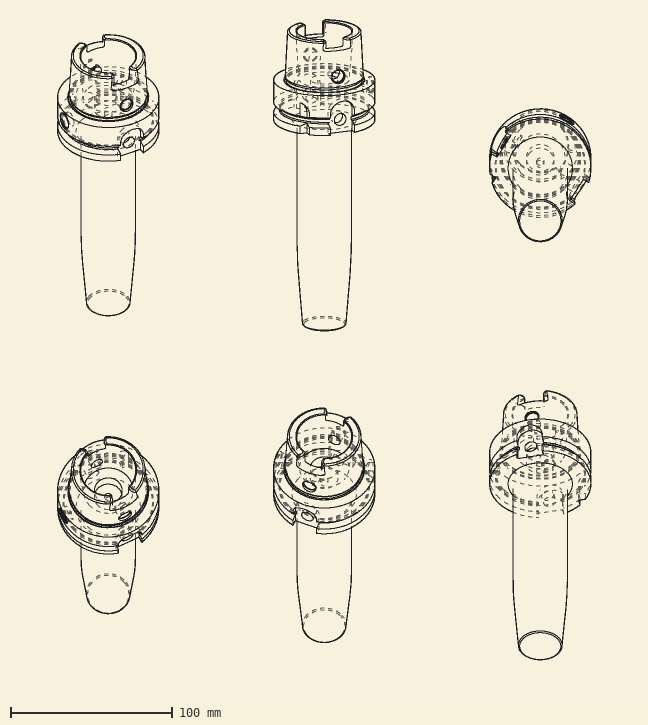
import cadquery as cq
import math


TOTAL_LENGTH = 191.9
DRILL_TIP_ANGLE = 118.0
HALF_RIGHT_ANGLE = math.radians(45)

taper_height = 32.0
taper_top_radius = 22.8
taper_base_diameter = 48.5
taper_base_radius = taper_base_diameter / 2
rim_bevel_width = 1.2
rim_bevel_height = 0.8
neck_height = 2.5
neck_undercut_height = 1.2
neck_radius = 23.6
neck_depth = 0.5
neck_groove_radius = 25.1

bore_radius = 17.0
bore_floor_radius = 15.4
bore_straight_depth = 12.3
bore_rim_chamfer = 0.5
bore_floor_z = 0.0
coolant_seat_radius = 8.6
coolant_seat_depth = 9.5
coolant_hole_radius = 2.3
coolant_hole_depth = 5.8

flange_radius = 31.5
flange_thickness = 26.1
groove_radius = 27.5
groove_top_z = -14.5
groove_bottom_z = -21.3
groove_flank_height = 2.0
groove_root_bevel = 0.5

body_diameter = 34.0
body_radius = body_diameter / 2
root_cone_radius = 20.0
root_blend_radius = 3.6
nose_blend_start_z = -103.6
nose_blend_length = 23.8
nose_angle = 4.5
nose_chamfer = 0.8

keyway_half_width = 6.1
keyway_depth_left = 6.0
keyway_depth_right = 9.8
keyway_floor_fillet = 1.3
keyway_mouth_radius = 3.6
keyway_mouth_x = 21.1

access_hole_z = 9.2
access_hole_radius = 3.8
access_counterbore_radius = 4.5
access_counterbore_depth = 1.7

slot_radius = 8.0
slot_centre_z = -12.5
drive_slot_floor = 26.5
slot_hole_z = -17.8
slot_hole_radius = 3.8
slot_hole_depth = 5.8
notch_floor = 20.1
notch_wall_y = 19.8
notch_radius = 6.7
notch_centre_z = -12.3

chip_z = -7.1
chip_radius = 4.6
chip_chamfer = 0.5
chip_depth = 4.6
chip_vent_radius = 0.5
chip_vent_depth = 1.2


def drill(radius, depth):
    """Cylinder along -Z from the origin, ending in a conical drill tip."""
    tip = radius / math.tan(math.radians(DRILL_TIP_ANGLE / 2))
    outline = [(0, 0), (radius, 0), (radius, -depth), (0, -depth - tip)]
    return cq.Workplane("XZ").polyline(outline).close().revolve(360, (0, 0), (0, 1))


def make_body():
    """Turned outside and taper bore as one revolved half section."""
    bottom_z = taper_height - TOTAL_LENGTH
    flange_bottom_z = -flange_thickness

    cone_end_z = flange_bottom_z - (root_cone_radius - body_radius)
    root_tangent = root_blend_radius * math.tan(HALF_RIGHT_ANGLE / 2)
    root_step = root_tangent * math.sin(HALF_RIGHT_ANGLE)
    root_start = (body_radius + root_step, cone_end_z + root_step)
    root_end = (body_radius, cone_end_z - root_tangent)

    nose_slope = math.radians(nose_angle)
    nose_blend_radius = nose_blend_length / math.sin(nose_slope)

    def blend_point(angle):
        return (
            body_radius - nose_blend_radius * (1 - math.cos(angle)),
            nose_blend_start_z - nose_blend_radius * math.sin(angle),
        )

    nose_top_radius, nose_top_z = blend_point(nose_slope)
    chamfer_z = bottom_z + nose_chamfer
    nose_tip_radius = nose_top_radius - (nose_top_z - chamfer_z) * math.tan(nose_slope)

    section = (
        cq.Workplane("XZ")
        .moveTo(0, bore_floor_z)
        .lineTo(bore_floor_radius, bore_floor_z)
        .lineTo(bore_radius, taper_height - bore_straight_depth)
        .lineTo(bore_radius, taper_height - bore_rim_chamfer)
        .lineTo(bore_radius + bore_rim_chamfer, taper_height)
        .lineTo(taper_top_radius - rim_bevel_width, taper_height)
        .lineTo(taper_top_radius, taper_height - rim_bevel_height)
        .lineTo(taper_base_radius, neck_height)
        .lineTo(neck_radius, neck_undercut_height)
        .lineTo(neck_radius, -neck_depth)
        .lineTo(neck_groove_radius - neck_depth, -neck_depth)
        .lineTo(neck_groove_radius, 0)
        .lineTo(flange_radius, 0)
        .lineTo(flange_radius, groove_top_z)
        .lineTo(groove_radius, groove_top_z - groove_flank_height)
        .lineTo(groove_radius, groove_bottom_z + groove_flank_height)
        .lineTo(flange_radius, groove_bottom_z)
        .lineTo(flange_radius, flange_bottom_z)
        .lineTo(root_cone_radius, flange_bottom_z)
        .lineTo(*root_start)
        .tangentArcPoint(root_end, relative=False)
        .lineTo(body_radius, nose_blend_start_z)
        .threePointArc(blend_point(nose_slope / 2), blend_point(nose_slope))
        .lineTo(nose_tip_radius, chamfer_z)
        .lineTo(nose_tip_radius - nose_chamfer, bottom_z)
        .lineTo(0, bottom_z)
        .close()
    )
    return section.revolve(360, (0, 0), (0, 1))


def bevel_groove_roots(body):
    """Bevel the two circles where the groove flanks meet the groove floor."""

    def on_groove_floor(edge):
        return math.isclose(edge.radius(), groove_radius)

    circles = body.edges("%CIRCLE").vals()
    roots = [edge for edge in circles if on_groove_floor(edge)]
    return body.newObject(roots).chamfer(groove_root_bevel)


def keyway_outline(base_z):
    """Closed plan of the +X keyway, its side walls flaring outward in quarter arcs."""
    mouth_half_width = keyway_half_width + keyway_mouth_radius
    arc_start_x = keyway_mouth_x - keyway_mouth_radius
    arc_offset = keyway_mouth_radius * math.sin(HALF_RIGHT_ANGLE)
    arc_mid = (arc_start_x + arc_offset, mouth_half_width - arc_offset)
    inner_x = bore_radius / 2
    outer_x = flange_radius
    return (
        cq.Workplane("XY", origin=(0, 0, base_z))
        .moveTo(inner_x, -keyway_half_width)
        .lineTo(arc_start_x, -keyway_half_width)
        .threePointArc((arc_mid[0], -arc_mid[1]), (keyway_mouth_x, -mouth_half_width))
        .lineTo(outer_x, -mouth_half_width)
        .lineTo(outer_x, mouth_half_width)
        .lineTo(keyway_mouth_x, mouth_half_width)
        .threePointArc(arc_mid, (arc_start_x, keyway_half_width))
        .lineTo(inner_x, keyway_half_width)
        .close()
    )


def keyway_cutter(depth):
    """Keyway on +X with rounded floor edges and a bevel along the rim."""
    slot = keyway_outline(taper_height - depth).extrude(depth)
    slot = slot.faces("<Z").edges().fillet(keyway_floor_fillet)
    bevel_angle = math.degrees(math.atan2(rim_bevel_width, rim_bevel_height))
    bevel = keyway_outline(taper_height - rim_bevel_height)
    return slot.union(bevel.extrude(rim_bevel_height, taper=-bevel_angle))


def cut_keyways(body):
    """Two opposed keyways, the one on +X being the deeper."""
    body = body.cut(keyway_cutter(keyway_depth_right))
    left = keyway_cutter(keyway_depth_left).rotate((0, 0, 0), (0, 0, 1), 180)
    return body.cut(left)


def cut_access_holes(body):
    """Cross hole through both taper walls with a shallow counterbore on each side."""
    through = (
        cq.Workplane("YZ", origin=(-flange_radius, 0, access_hole_z))
        .circle(access_hole_radius)
        .extrude(2 * flange_radius)
    )
    body = body.cut(through)
    for side in (-1, 1):
        counterbore = (
            cq.Workplane("YZ", origin=(side * flange_radius, 0, access_hole_z))
            .circle(access_counterbore_radius)
            .extrude(-side * (flange_radius - taper_base_radius + access_counterbore_depth))
        )
        body = body.cut(counterbore)
    return body


def slot_cutter(radius, floor, centre_y, centre_z):
    """Arch-topped slot on -X, open at the flange underside, with a flat floor."""
    bottom_z = -flange_thickness
    return (
        cq.Workplane("YZ", origin=(-2 * flange_radius, 0, 0))
        .moveTo(centre_y - radius, bottom_z)
        .lineTo(centre_y - radius, centre_z)
        .threePointArc((centre_y, centre_z + radius), (centre_y + radius, centre_z))
        .lineTo(centre_y + radius, bottom_z)
        .close()
        .extrude(2 * flange_radius - floor)
    )


def cut_flange_slots(body):
    """Two drilled drive slots on the X axis and one orientation notch."""
    drive_slot = slot_cutter(slot_radius, drive_slot_floor, 0, slot_centre_z)
    slot_hole = (
        drill(slot_hole_radius, slot_hole_depth)
        .rotate((0, 0, 0), (0, 1, 0), -90)
        .translate((-drive_slot_floor, 0, slot_hole_z))
    )
    for angle in (0, 180):
        body = body.cut(drive_slot.rotate((0, 0, 0), (0, 0, 1), angle))
        body = body.cut(slot_hole.rotate((0, 0, 0), (0, 0, 1), angle))
    notch = slot_cutter(notch_radius, notch_floor, notch_wall_y + notch_radius, notch_centre_z)
    return body.cut(notch)


def cut_chip_pocket(body):
    """Flat-bottomed pocket on -Y with a bevelled mouth and a small vent hole."""
    mouth_radius = chip_radius + chip_chamfer
    floor_r = flange_radius - chip_depth
    bevel_r = flange_radius - chip_chamfer
    outline = [
        (0, floor_r - chip_vent_depth),
        (chip_vent_radius, floor_r - chip_vent_depth),
        (chip_vent_radius, floor_r),
        (chip_radius, floor_r),
        (chip_radius, bevel_r - chip_chamfer),
        (mouth_radius, bevel_r),
        (mouth_radius, flange_radius),
        (0, flange_radius),
    ]
    pocket = (
        cq.Workplane("XZ")
        .polyline(outline)
        .close()
        .revolve(360, (0, 0), (0, 1))
        .rotate((0, 0, 0), (1, 0, 0), 90)
        .translate((0, 0, chip_z))
    )
    return body.cut(pocket)


def cut_coolant_seat(body):
    """Counterbored seat in the bore floor with a drilled centre hole."""
    seat = (
        cq.Workplane("XY", origin=(0, 0, bore_floor_z))
        .circle(coolant_seat_radius)
        .extrude(-coolant_seat_depth)
    )
    hole = drill(coolant_hole_radius, coolant_hole_depth)
    hole = hole.translate((0, 0, bore_floor_z - coolant_seat_depth))
    return body.cut(seat).cut(hole)


holder = make_body()
holder = bevel_groove_roots(holder)
holder = cut_keyways(holder)
holder = cut_access_holes(holder)
holder = cut_flange_slots(holder)
holder = cut_chip_pocket(holder)
holder = cut_coolant_seat(holder)

result = holder